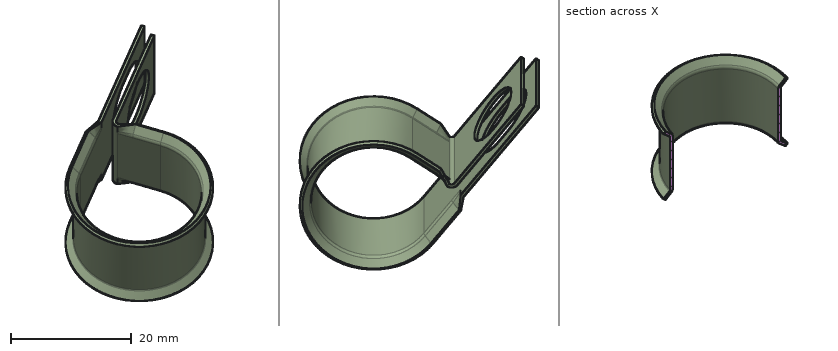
import cadquery as cq
import math

thickness = 0.61
strip_width = 15.88
loop_inner_radius = 10.32
loop_rim_radius = 12.23
loop_angle = 270
loop_outer_radius = loop_inner_radius + thickness

flare_angle = math.radians(45)
flare_inside_bend = 0.3
flare_outside_bend = flare_inside_bend + thickness

long_tab_end = 31.34
long_fade_length = 2.5
long_rim_length = loop_inner_radius - long_fade_length

short_tab_end = 30.1
short_tab_outer_x = -8.77
short_rim_length = 4.86
tab_inside_bend = 0.6
tab_outside_bend = tab_inside_bend + thickness
tab_bend_x = short_tab_outer_x + tab_outside_bend
short_fade_length = -short_rim_length - tab_bend_x

hole_diameter = 10.32
slot_length = 12.7
hole_y = 22.25

half_width = strip_width / 2
bend_center_radius = loop_outer_radius + flare_inside_bend
bend_outer_end = bend_center_radius - flare_inside_bend * math.cos(flare_angle)
flare_length = (loop_rim_radius - bend_outer_end) / math.sin(flare_angle)
flare_height = (
    flare_outside_bend * math.sin(flare_angle) + flare_length * math.cos(flare_angle)
)
bend_start_z = half_width - flare_height


def flared_edge(plane, side):
    """Section of one flared rim; local x is the distance from the loop axis, side is +1 or -1."""

    def on_bend(bend_radius, angle):
        x = bend_center_radius - bend_radius * math.cos(angle)
        z = bend_start_z + bend_radius * math.sin(angle)
        return x, side * z

    inner_end = on_bend(flare_outside_bend, flare_angle)
    outer_end = on_bend(flare_inside_bend, flare_angle)
    run = flare_length * math.sin(flare_angle)
    rise = side * flare_length * math.cos(flare_angle)
    return (
        cq.Workplane(plane)
        .moveTo(loop_inner_radius, side * bend_start_z)
        .threePointArc(on_bend(flare_outside_bend, flare_angle / 2), inner_end)
        .lineTo(inner_end[0] + run, inner_end[1] + rise)
        .lineTo(outer_end[0] + run, outer_end[1] + rise)
        .lineTo(*outer_end)
        .threePointArc(on_bend(flare_inside_bend, flare_angle / 2), on_bend(flare_inside_bend, 0))
        .close()
    )


def flat_edge(plane, side):
    """Flat section of the same strip edge, with points that match the flared section."""

    def bend_end_z(bend_radius):
        bend_length = bend_radius * flare_angle
        return bend_start_z + flare_height * bend_length / (bend_length + flare_length)

    return (
        cq.Workplane(plane)
        .moveTo(loop_inner_radius, side * bend_start_z)
        .lineTo(loop_inner_radius, side * bend_end_z(flare_outside_bend))
        .lineTo(loop_inner_radius, side * half_width)
        .lineTo(loop_outer_radius, side * half_width)
        .lineTo(loop_outer_radius, side * bend_end_z(flare_inside_bend))
        .lineTo(loop_outer_radius, side * bend_start_z)
        .close()
    )


def offset_plane(plane, distance):
    """Copy of a plane moved along its normal."""
    return cq.Plane(plane.origin + plane.zDir * distance, plane.xDir, plane.zDir)


def straight_rim(plane, side, rim_length, fade_length):
    """Straight flared rim that fades to a flat edge; the plane normal points along the strip."""
    flare = flared_edge(plane, side).extrude(rim_length)
    fade_start = flared_edge(offset_plane(plane, rim_length), side).val()
    fade_end = flat_edge(offset_plane(plane, rim_length + fade_length), side).val()
    fade = cq.Solid.makeLoft([fade_start, fade_end], True)
    return flare.union(cq.Workplane(fade))


def strip_block(x_start, x_end, y_start, y_end, height):
    """Flat piece of strip, centered on Z = 0."""
    return (
        cq.Workplane("XY")
        .box(x_end - x_start, y_end - y_start, height)
        .translate(((x_start + x_end) / 2, (y_start + y_end) / 2, 0))
    )


def loop():
    """Three-quarter round loop from -X through -Y and +X to +Y, with both rims."""
    band = (
        cq.Workplane("XZ")
        .moveTo((loop_inner_radius + loop_outer_radius) / 2, 0)
        .rect(thickness, 2 * bend_start_z)
    )

    def turn(section):
        """Section turned about the loop axis, then swung so that the open quarter faces -X and +Y."""
        turned = section.revolve(loop_angle, (0, 0, 0), (0, 1, 0))
        return turned.rotate((0, 0, 0), (0, 0, 1), 180)

    body = turn(band)
    for side in (1, -1):
        body = body.union(turn(flared_edge("XZ", side)))
    return body


def long_arm():
    """Straight side at -X with its rims and the long tab."""
    rim_plane = cq.Plane((0, 0, 0), (-1, 0, 0), (0, 1, 0))
    rim_end = long_rim_length + long_fade_length
    arm = strip_block(-loop_outer_radius, -loop_inner_radius, 0, long_tab_end, 2 * bend_start_z)
    tab = strip_block(-loop_outer_radius, -loop_inner_radius, rim_end, long_tab_end, strip_width)
    arm = arm.union(tab)
    for side in (1, -1):
        arm = arm.union(straight_rim(rim_plane, side, long_rim_length, long_fade_length))
    return arm


def short_arm():
    """Straight side at +Y with its rims, the right-angle bend and the short tab."""
    rim_plane = cq.Plane((0, 0, 0), (0, 1, 0), (-1, 0, 0))
    bend_center_y = loop_inner_radius + tab_outside_bend
    arm = strip_block(tab_bend_x, 0, loop_inner_radius, loop_outer_radius, 2 * bend_start_z)
    bend = (
        cq.Workplane("XY")
        .center(tab_bend_x, bend_center_y)
        .circle(tab_outside_bend)
        .circle(tab_inside_bend)
        .extrude(half_width, both=True)
        .intersect(
            strip_block(short_tab_outer_x, tab_bend_x, loop_inner_radius, bend_center_y, strip_width)
        )
    )
    tab = strip_block(
        short_tab_outer_x, short_tab_outer_x + thickness, bend_center_y, short_tab_end, strip_width
    )
    arm = arm.union(bend).union(tab)
    for side in (1, -1):
        arm = arm.union(straight_rim(rim_plane, side, short_rim_length, short_fade_length))
    return arm


def tab_face(face_x):
    """Sketch plane on the -X face of a tab, centered on its opening."""
    return cq.Workplane("YZ", origin=(face_x, hole_y, 0))


slot = tab_face(-loop_outer_radius).slot2D(slot_length, hole_diameter).extrude(thickness)
round_hole = tab_face(short_tab_outer_x).circle(hole_diameter / 2).extrude(thickness)
long_side = long_arm().cut(slot)
short_side = short_arm().cut(round_hole)
result = loop().union(long_side).union(short_side)